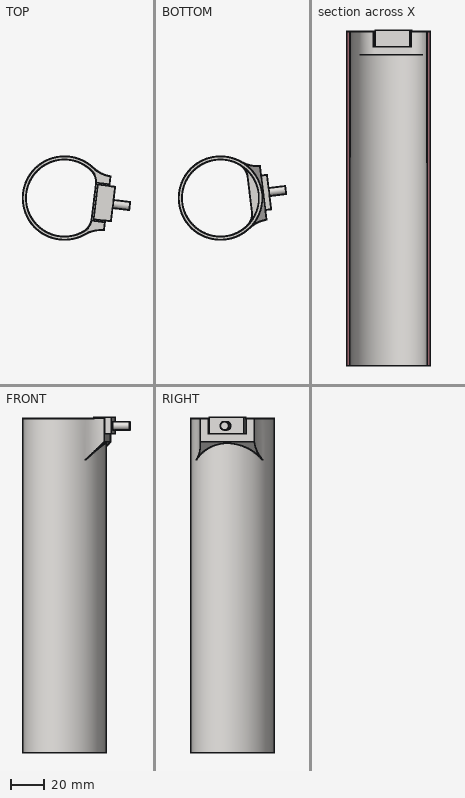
import cadquery as cq
import math

tube_radius = 25.02
bore_radius = 23.01
total_height = 201.0
block_rise = 0.8
tube_height = total_height - block_rise

boss_turn = -7.0
boss_face = 25.83
boss_half_width = 16.3
boss_depth = 14.0
flare_radius = 18.5

pad_face = 17.59
pad_corner_radius = 9.8

recess_half_width = 11.5
recess_depth = 9.2
block_back = 18.9
block_front = 29.3
block_width = 21.0
block_height = recess_depth + block_rise

pin_diameter = 5.0
pin_tip = 39.4
pin_height = 195.8


def polar(radius, angle):
    return radius * math.cos(angle), radius * math.sin(angle)


def mirrored(point):
    return point[0], -point[1]


def make_boss_outline():
    """Upright prism of the boss, with concave sides that run into the tube."""
    flare_v = boss_half_width + flare_radius
    flare_angle = math.asin(flare_v / (tube_radius + flare_radius))
    flare_u = flare_v / math.tan(flare_angle)
    tangent = polar(tube_radius, flare_angle)
    middle_angle = (flare_angle + math.pi + 1.5 * math.pi) / 2
    du, dv = polar(flare_radius, middle_angle)
    middle = (flare_u + du, flare_v + dv)
    side_end = (flare_u, boss_half_width)
    return (
        cq.Workplane("XY")
        .moveTo(*mirrored(tangent))
        .threePointArc(mirrored(middle), mirrored(side_end))
        .lineTo(*side_end)
        .threePointArc(middle, tangent)
        .close()
        .extrude(tube_height)
    )


def make_tube_with_boss():
    """Solid tube with the boss, which slopes back to the tube underneath at 45 degrees."""
    tube = cq.Workplane("XY").circle(tube_radius).extrude(tube_height)
    face_bottom = tube_height - boss_depth
    side_profile = (
        cq.Workplane("XZ")
        .polyline([
            (0, tube_height),
            (boss_face, tube_height),
            (boss_face, face_bottom),
            (0, face_bottom - boss_face),
        ])
        .close()
        .extrude(tube_radius, both=True)
    )
    return tube.union(make_boss_outline().intersect(side_profile))


def make_pad():
    """Filling between the bore and a flat, with rounded inner corners."""
    corner_u = pad_face - pad_corner_radius
    corner_angle = math.acos(corner_u / (bore_radius - pad_corner_radius))
    corner_v = corner_u * math.tan(corner_angle)
    tangent = polar(bore_radius, corner_angle)
    du, dv = polar(pad_corner_radius, corner_angle / 2)
    middle = (corner_u + du, corner_v + dv)
    flat_end = (pad_face, corner_v)
    wall_middle = (tube_radius + bore_radius) / 2
    return (
        cq.Workplane("XY", origin=(0, 0, tube_height - boss_depth))
        .moveTo(*mirrored(tangent))
        .threePointArc(mirrored(middle), mirrored(flat_end))
        .lineTo(*flat_end)
        .threePointArc(middle, tangent)
        .lineTo(*polar(wall_middle, corner_angle))
        .threePointArc((wall_middle, 0), polar(wall_middle, -corner_angle))
        .close()
        .extrude(boss_depth)
    )


def make_box(back, front, width, bottom, top):
    return (
        cq.Workplane("XY", origin=(back, 0, bottom))
        .box(front - back, width, top - bottom, centered=(False, True, False))
    )


bore = cq.Workplane("XY").circle(bore_radius).extrude(tube_height)
recess_floor = tube_height - recess_depth
recess = make_box(0, block_front, 2 * recess_half_width, recess_floor, tube_height)
block = make_box(block_back, block_front, block_width, recess_floor, total_height)
pin = (
    cq.Workplane("YZ", origin=(block_front, 0, pin_height))
    .circle(pin_diameter / 2)
    .extrude(pin_tip - block_front)
)

housing = make_tube_with_boss().cut(bore).union(make_pad()).cut(recess)
result = housing.union(block).union(pin).rotate((0, 0, 0), (0, 0, 1), boss_turn)